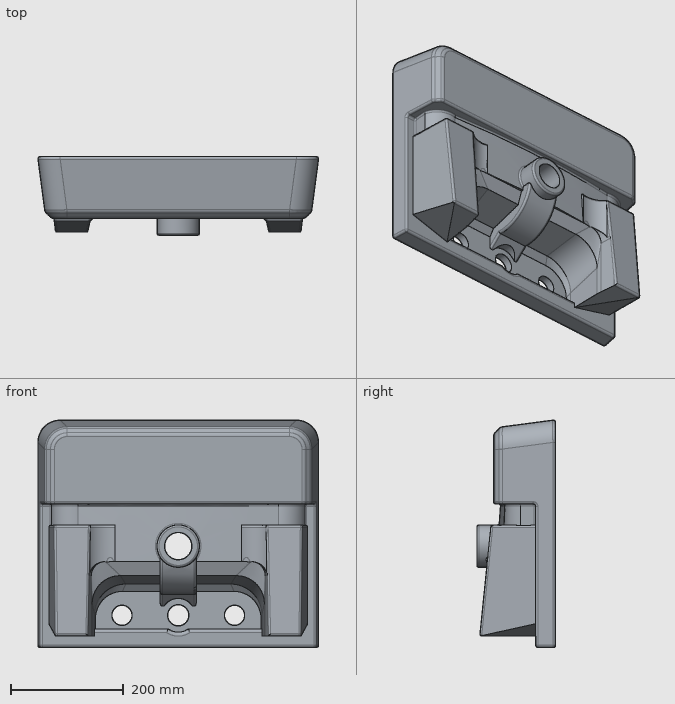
import cadquery as cq
import math


width = 498.7
height = 404.35
apron_depth = 110.4
draft_angle = 7.5
corner_radius = 40.0
front_chamfer_on_face = 11.4
front_chamfer_on_side = 12.4
front_blend_radius = 10.0
edge_radius = 4.5

draft_rad = math.radians(draft_angle)
rim_trim = edge_radius * (math.tan(draft_rad) + 1 / math.cos(draft_rad) - 1)
block_width = width + 2 * rim_trim
block_height = height + rim_trim

margin = 1.0

plate_depth = 35.4
apron_bottom = 255.0

bowl_half_width = 225.0
bowl_side_depth = 62.7
bowl_bend_x = 213.0
bowl_bend_depth = 81.0
bowl_corner_x = 178.0
bowl_corner_depth = 89.0
bowl_top_depth = 98.0
bowl_bottom_z = 90.0
bowl_front_slope = 4.0
bowl_root_radius = 3.0

leg_top = 217.5
leg_bottom = 20.5
leg_root_x = 230.0
leg_tip_x = 218.0
leg_inner_x = 156.5
leg_tip_inner_x = 161.0
leg_top_depth = 115.0
leg_bottom_depth = 135.0
flare_x = 112.0
flare_depth = 102.0
flare_bend_x = 147.0
flare_bend_depth = 107.0
leg_edge_radius = 4.0
heel_rise = 22.0
heel_inner_x = 150.0

floor_depth = 15.0
recess_half_width = 147.0
recess_bottom = 33.6
recess_lip_radius = 7.0

drain_z = 180.4
boss_radius = 37.7
boss_depth = 140.0
boss_edge_radius = 3.5
boss_root_radius = 2.8
drain_hole_radius = 24.0

web_half_width = 32.0
web_front_depth = 124.0
web_bend_depth = 98.0
web_bend_z = 112.0
web_back_depth = 40.0
web_back_z = 95.0
web_foot_z = 74.0
web_edge_radius = 4.0

hole_z = 57.5
hole_spacing = 100.0
side_hole_radius = 17.7
centre_hole_radius = 18.6
seat_radius = 30.0


def at_depth(depth):
    """Workplane parallel to the rim; local axes are X and Z, extrusion runs toward -Y."""
    return cq.Workplane("XZ", origin=(0, -depth, 0))


def block(size_x, near, far, low, high):
    """Box centred on X, spanning the depths near to far and the heights low to high."""
    return at_depth(near).center(0, (low + high) / 2).rect(size_x, high - low).extrude(far - near)


def mirrored(half):
    """The given feature together with its mirror image across X = 0."""
    return half.union(half.mirror("YZ"))


def make_body():
    """Drafted block with rounded top corners and front edges, stepped back below the apron."""
    draft_height = 2 * block_height
    body = at_depth(0).center(0, block_height - draft_height / 2).rect(block_width, draft_height)
    body = body.extrude(apron_depth, taper=draft_angle)
    body = body.intersect(block(block_width, 0, apron_depth, 0, block_height))

    top_zone = cq.selectors.BoxSelector((-width, -apron_depth, 0.9 * height), (width, 0, 1.1 * height))
    body = body.edges(top_zone).edges("not(#Y)").fillet(corner_radius)
    body = body.faces("<Y").edges("not(<Z)").chamfer(front_chamfer_on_side, front_chamfer_on_face)
    chamfer_zone = cq.selectors.BoxSelector(
        (-width, -margin - apron_depth, margin),
        (width, margin + front_chamfer_on_side - apron_depth, 2 * height),
    )
    body = body.edges(chamfer_zone).edges("#Y").fillet(front_blend_radius)

    body = body.cut(block(2 * width, plate_depth, 2 * apron_depth, -height, apron_bottom))
    body = body.faces("<Z").edges("<X or >X").fillet(edge_radius)
    step_zone = cq.selectors.BoxSelector(
        (-width, -2 * apron_depth, -margin), (width, margin - plate_depth, apron_bottom + margin)
    )
    body = body.edges(step_zone).fillet(edge_radius)
    return body.faces(">Y").edges().fillet(edge_radius)


def bowl_section(z):
    """Plan outline of the bowl shell; its front moves outward as z drops below the apron."""
    lean = (apron_bottom - z) * math.tan(math.radians(bowl_front_slope))
    return (
        cq.Workplane("XY", origin=(0, 0, z))
        .moveTo(bowl_half_width, -floor_depth)
        .lineTo(bowl_half_width, -bowl_side_depth)
        .threePointArc((bowl_bend_x, -bowl_bend_depth), (bowl_corner_x, -bowl_corner_depth - lean))
        .threePointArc((0, -bowl_top_depth - lean), (-bowl_corner_x, -bowl_corner_depth - lean))
        .threePointArc((-bowl_bend_x, -bowl_bend_depth), (-bowl_half_width, -bowl_side_depth))
        .lineTo(-bowl_half_width, -floor_depth)
        .close()
    )


def make_bowl():
    """Bowl shell from inside the apron down to below the crown of the arch."""
    top = bowl_section(apron_bottom + edge_radius).wires().val()
    bottom = bowl_section(bowl_bottom_z).wires().val()
    return cq.Workplane(cq.Solid.makeLoft([top, bottom], True))


def make_leg():
    """Leg on the +X side: drafted outside, leaning front, inner side flaring into the bowl."""
    plan = (
        cq.Workplane("XY", origin=(0, 0, leg_bottom))
        .moveTo(flare_x, -floor_depth)
        .lineTo(leg_root_x, -floor_depth)
        .lineTo(leg_root_x, -plate_depth)
        .lineTo(leg_tip_x, -leg_bottom_depth)
        .lineTo(leg_tip_inner_x, -leg_bottom_depth)
        .lineTo(leg_inner_x, -leg_top_depth)
        .threePointArc((flare_bend_x, -flare_bend_depth), (flare_x, -flare_depth))
        .close()
        .extrude(leg_top - leg_bottom)
    )
    profile = (
        cq.Workplane("YZ")
        .moveTo(0, leg_bottom)
        .lineTo(-leg_bottom_depth, leg_bottom)
        .lineTo(-leg_top_depth, leg_top)
        .lineTo(0, leg_top)
        .close()
        .extrude(width)
    )
    leg = plan.intersect(profile)
    leg = leg.cut(below_heel())
    top_side_zone = cq.selectors.BoxSelector(
        (flare_x + margin, -leg_top_depth, leg_top - margin),
        (leg_root_x, -plate_depth - margin, leg_top + margin),
    )
    front_point = ((leg_inner_x + leg_tip_x) / 2, -(leg_top_depth + leg_bottom_depth) / 2, leg_top / 2)
    front_edges = leg.faces(cq.selectors.NearestToPointSelector(front_point)).edges()
    return front_edges.add(leg.edges(top_side_zone)).fillet(leg_edge_radius)


def below_heel():
    """Space under the sloping leg bottom, which rises toward the outer root of the leg."""
    tip = cq.Vector(leg_tip_x, -leg_bottom_depth, leg_bottom)
    inner_root = cq.Vector(heel_inner_x, -plate_depth, leg_bottom)
    outer_root = cq.Vector(leg_root_x, -plate_depth, leg_bottom + heel_rise)
    downward = (inner_root - outer_root).cross(outer_root - tip)
    plane = cq.Plane(origin=tip, xDir=outer_root - tip, normal=downward)
    return cq.Workplane(plane).rect(width, width).extrude(leg_top)


def arch_section(depth, half_width, top, radius, bottom):
    """Round-shouldered arch outline standing at the given depth."""
    shoulder = radius * (1 - math.sqrt(0.5))
    return (
        at_depth(depth)
        .moveTo(-half_width, bottom)
        .lineTo(-half_width, top - radius)
        .threePointArc((shoulder - half_width, top - shoulder), (radius - half_width, top))
        .lineTo(half_width - radius, top)
        .threePointArc((half_width - shoulder, top - shoulder), (half_width, top - radius))
        .lineTo(half_width, bottom)
        .close()
        .wires()
        .val()
    )


def make_arch():
    """Opening between the legs, widening from the recess floor toward the front."""
    stations = [
        (floor_depth, recess_half_width, 100.0, 48.0),
        (25.0, 148.5, 113.0, 55.0),
        (92.0, 153.0, 128.0, 50.0),
        (101.0, 154.5, 153.0, 25.0),
        (leg_bottom_depth + margin, leg_tip_inner_x, 155.0, 25.0),
    ]
    sections = [arch_section(*station, bottom=0) for station in stations]
    opening = cq.Workplane(cq.Solid.makeLoft(sections, True))
    return opening.cut(block(width, 0, plate_depth, 0, recess_bottom))


def make_web():
    """Curved overflow web running from under the boss down to the recess floor."""
    web = (
        cq.Workplane("YZ", origin=(-web_half_width, 0, 0))
        .moveTo(margin - floor_depth, drain_z)
        .lineTo(-web_front_depth, drain_z)
        .threePointArc((-web_bend_depth, web_bend_z), (-web_back_depth, web_back_z))
        .lineTo(-floor_depth, web_foot_z)
        .lineTo(margin - floor_depth, web_foot_z)
        .close()
        .extrude(2 * web_half_width)
    )
    return web.edges("(<X or >X) and (not |Z) and (not |Y)").fillet(web_edge_radius)


def make_boss():
    boss = at_depth(plate_depth).center(0, drain_z).circle(boss_radius).extrude(boss_depth - plate_depth)
    return boss.faces("<Y").edges().fillet(boss_edge_radius)


def through_hole(x, z, radius):
    return at_depth(0).center(x, z).circle(radius).extrude(boss_depth)


def make_shell():
    """Body, bowl, legs and arch, with the bowl root, boss root and recess lip rounded."""
    shell = make_body().union(make_bowl())
    bowl_root = cq.selectors.BoxSelector(
        (-bowl_half_width - margin, -apron_depth, apron_bottom - margin),
        (bowl_half_width + margin, -plate_depth, apron_bottom + margin),
    )
    shell = shell.edges(bowl_root).edges("not(|X)").fillet(bowl_root_radius)

    shell = shell.union(mirrored(make_leg())).cut(make_arch()).cut(seat)
    lip = cq.selectors.BoxSelector(
        (-recess_half_width, -plate_depth - margin, hole_z - seat_radius),
        (recess_half_width, margin - plate_depth, recess_bottom + margin),
    )
    shell = shell.edges(lip).fillet(recess_lip_radius)

    shell = shell.union(make_boss())
    boss_root = cq.selectors.BoxSelector(
        (-boss_radius, 2 * boss_edge_radius - boss_depth, drain_z - boss_radius),
        (boss_radius, -bowl_corner_depth, drain_z + boss_radius),
    )
    return shell.edges(boss_root).edges("not(|Y)").fillet(boss_root_radius)


seat = at_depth(floor_depth).center(0, hole_z).circle(seat_radius).extrude(boss_depth)
result = make_shell().union(make_web().cut(seat))
result = result.cut(through_hole(0, drain_z, drain_hole_radius))
result = result.cut(through_hole(0, hole_z, centre_hole_radius))
for side in (-1, 1):
    result = result.cut(through_hole(side * hole_spacing, hole_z, side_hole_radius))